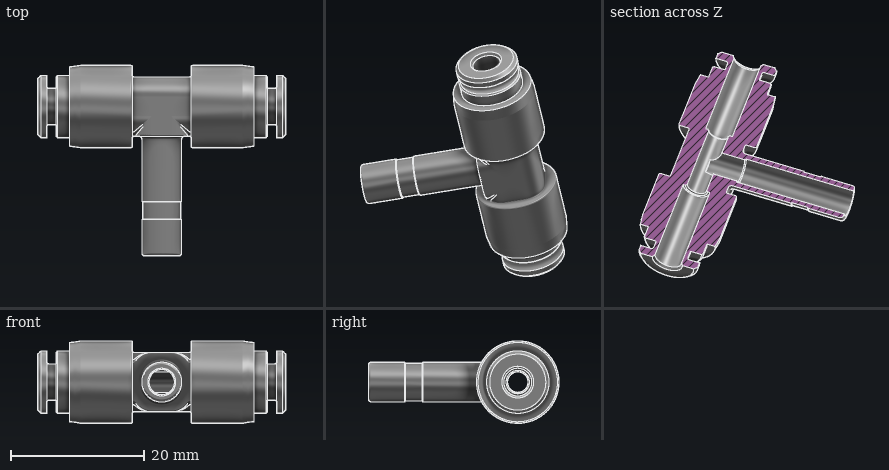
import math

import cadquery as cq

half_length = 18.6
branch_length = 22.4

block_half = 4.45
block_corner = 2.98
block_edge_fillet = 0.22
valley_bevel = 0.5
body_root_fillet = 0.2

body_inner_x = 4.4
body_diameter = 12.4
body_radius = body_diameter / 2
body_inner_fillet = 0.25
body_taper_x = 12.13
body_outer_x = 13.85
body_outer_radius = 5.95
collar_radius = 4.7
collar_outer_x = 15.85
collar_chamfer = 0.22
neck_radius = 2.75
flange_inner_x = 17.22
flange_chamfer = 0.5
flange_root_fillet = 0.25

mouth_radius = 2.38
mouth_depth = 0.45
socket_radius = 2.1
socket_floor_x = 5.2
lead_radius = 1.75
through_radius = 1.53

stem_diameter = 6.0
stem_radius = stem_diameter / 2
stem_root_fillet = 0.5
stem_tip_fillet = 0.45
groove_radius = 2.85
groove_start_y = 14.2
groove_end_y = 16.95
groove_bevel = stem_radius - groove_radius
stem_bore_radius = 2.1
stem_inner_radius = 1.9
stem_step_y = 5.2

tolerance = 0.0005


def port_solid():
    """Port on the +X side, revolved about the X axis."""
    return (
        cq.Workplane("XY")
        .moveTo(body_inner_x, 0)
        .lineTo(body_inner_x, body_radius - body_inner_fillet)
        .radiusArc((body_inner_x + body_inner_fillet, body_radius), body_inner_fillet)
        .lineTo(body_taper_x, body_radius)
        .lineTo(body_outer_x, body_outer_radius)
        .lineTo(body_outer_x, collar_radius)
        .lineTo(collar_outer_x - collar_chamfer, collar_radius)
        .lineTo(collar_outer_x, collar_radius - collar_chamfer)
        .lineTo(collar_outer_x, neck_radius)
        .lineTo(flange_inner_x - flange_root_fillet, neck_radius)
        .radiusArc((flange_inner_x, neck_radius + flange_root_fillet), -flange_root_fillet)
        .lineTo(flange_inner_x, collar_radius)
        .lineTo(half_length - flange_chamfer, collar_radius)
        .lineTo(half_length, collar_radius - flange_chamfer)
        .lineTo(half_length, 0)
        .close()
        .revolve(360, (0, 0, 0), (1, 0, 0))
    )


def port_cavity():
    """Stepped bore of the +X port, from the tee centre outwards."""
    return (
        cq.Workplane("XY")
        .lineTo(0, through_radius)
        .lineTo(socket_floor_x - (lead_radius - through_radius), through_radius)
        .lineTo(socket_floor_x, lead_radius)
        .lineTo(socket_floor_x, socket_radius)
        .lineTo(half_length - mouth_depth, socket_radius)
        .lineTo(half_length, mouth_radius)
        .lineTo(half_length, 0)
        .close()
        .revolve(360, (0, 0, 0), (1, 0, 0))
    )


def valley_bar(side_sign, top_sign):
    """Elliptic bar that bevels one crease between the run bar and the branch bar."""
    corner = block_half - block_corner
    semi_length = math.sqrt(2) * (block_corner + valley_bevel / 2)
    diagonal = cq.Plane(
        origin=(side_sign * corner, -corner, top_sign * corner),
        xDir=(side_sign, -1, 0),
        normal=(side_sign, 1, 0),
    )
    return (
        cq.Workplane(diagonal)
        .workplane(offset=-valley_bevel)
        .ellipse(semi_length, block_corner)
        .extrude(2 * valley_bevel)
    )


def centre_block():
    """Run bar along X joined to a branch bar that reaches the front face."""
    side = 2 * block_half
    run_bar = cq.Workplane("XY").box(side, side, side).edges("|X").fillet(block_corner)
    branch_bar = (
        cq.Workplane("XY")
        .box(side, block_half, side)
        .translate((0, -block_half / 2, 0))
        .edges("|Y")
        .fillet(block_corner)
    )
    block = run_bar.union(branch_bar)
    envelope = cq.Workplane("XY").box(side, side, side)
    for side_sign in (-1, 1):
        for top_sign in (-1, 1):
            block = block.union(valley_bar(side_sign, top_sign).intersect(envelope))
    return block.faces("<Y").edges("not |Z").fillet(block_edge_fillet)


def is_body_root(edge):
    """True for the edges where the centre block meets the inner face of a port body."""
    box = edge.BoundingBox()
    on_inner_face = math.isclose(abs(edge.Center().x), body_inner_x, abs_tol=tolerance)
    return on_inner_face and box.xlen < tolerance and box.zlen < body_radius


def stem_solid():
    """Branch stem, revolved about the Y axis."""
    root_y = block_half
    return (
        cq.Workplane("XY")
        .lineTo(stem_radius + stem_root_fillet, 0)
        .lineTo(stem_radius + stem_root_fillet, -root_y)
        .radiusArc((stem_radius, -root_y - stem_root_fillet), -stem_root_fillet)
        .lineTo(stem_radius, -groove_start_y)
        .lineTo(groove_radius, -groove_start_y - groove_bevel)
        .lineTo(groove_radius, -groove_end_y + groove_bevel)
        .lineTo(stem_radius, -groove_end_y)
        .lineTo(stem_radius, -branch_length + stem_tip_fillet)
        .radiusArc((stem_radius - stem_tip_fillet, -branch_length), stem_tip_fillet)
        .lineTo(0, -branch_length)
        .close()
        .revolve(360, (0, 0, 0), (0, 1, 0))
    )


def stem_cavity():
    """Stem bore, ending flat at the tee centre."""
    return (
        cq.Workplane("XY")
        .lineTo(stem_inner_radius, 0)
        .lineTo(stem_inner_radius, -stem_step_y)
        .lineTo(stem_bore_radius, -stem_step_y - (stem_bore_radius - stem_inner_radius))
        .lineTo(stem_bore_radius, -branch_length)
        .lineTo(0, -branch_length)
        .close()
        .revolve(360, (0, 0, 0), (0, 1, 0))
    )


port = port_solid()
body = centre_block().union(port).union(port.mirror("YZ"))
root_edges = [edge for edge in body.edges().vals() if is_body_root(edge)]
body = body.newObject(root_edges).fillet(body_root_fillet)

cavity = port_cavity()
result = (
    body.union(stem_solid())
    .cut(cavity)
    .cut(cavity.mirror("YZ"))
    .cut(stem_cavity())
)